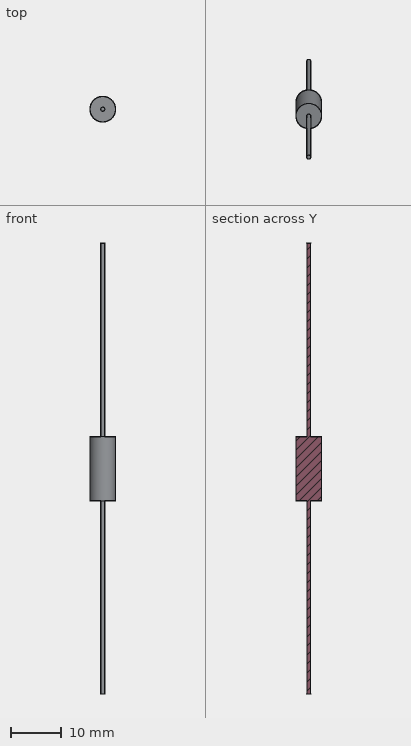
import cadquery as cq

body_diameter = 5.08
body_length = 12.7
lead_diameter = 0.8128
overall_length = 88.9

body_radius = body_diameter / 2
lead_radius = lead_diameter / 2
body_top = body_length / 2
lead_top = overall_length / 2

half_section = (
    cq.Workplane("XZ")
    .moveTo(0, -lead_top)
    .lineTo(-lead_radius, -lead_top)
    .lineTo(-lead_radius, -body_top)
    .lineTo(-body_radius, -body_top)
    .lineTo(-body_radius, body_top)
    .lineTo(-lead_radius, body_top)
    .lineTo(-lead_radius, lead_top)
    .lineTo(0, lead_top)
    .close()
)

result = half_section.revolve(360, (0, 0, 0), (0, 1, 0))